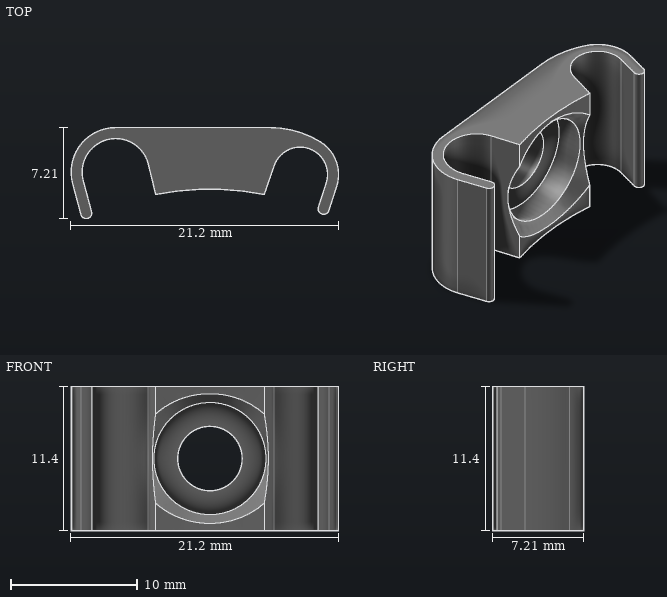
import cadquery as cq
import math

HEIGHT = 11.42
WALL = 0.89

LEFT_X = -7.45
LEFT_RADIUS = 2.65
LEFT_TILT = 15.0
LEFT_CENTER_Y = -(LEFT_RADIUS + WALL)
LEFT_TIP_Y = -6.77

RIGHT_X = 7.13
RIGHT_RADIUS = 2.15
RIGHT_TILT = 18.0
RIGHT_CENTER_Y = -3.72
RIGHT_TIP_Y = -6.43
SHOULDER_RADIUS = 7.61

BLOCK_HALF_WIDTH = 4.3
BLOCK_CORNER_Y = -5.3
BLOCK_MIDDLE_Y = -4.89

HOLE_DIAMETER = 5.08
BORE_DIAMETER = 8.86
BORE_FLOOR_Y = -2.0
FLARE_START_Y = -4.19
FLARE_LENGTH = 1.7


def polar(center, radius, degrees):
    angle = math.radians(degrees)
    return (center[0] + radius * math.cos(angle), center[1] + radius * math.sin(angle))


def tip_center(center, radius, tilt, side, tip_y):
    """Center of the rounded arm tip; side is 1 for the left hook, -1 for the right."""
    middle_radius = radius + WALL / 2
    start = polar(center, middle_radius, 90 + side * (90 + tilt))
    run = (start[1] - tip_y) / math.cos(math.radians(tilt))
    return polar(start, run, -90 + side * tilt)


def clip_profile():
    left = (LEFT_X, LEFT_CENTER_Y)
    right = (RIGHT_X, RIGHT_CENTER_Y)
    left_outer = LEFT_RADIUS + WALL
    right_outer = RIGHT_RADIUS + WALL
    left_arm = 180 + LEFT_TILT
    right_arm = -RIGHT_TILT

    left_tip = tip_center(left, LEFT_RADIUS, LEFT_TILT, 1, LEFT_TIP_Y)
    right_tip = tip_center(right, RIGHT_RADIUS, RIGHT_TILT, -1, RIGHT_TIP_Y)

    shoulder_y = -SHOULDER_RADIUS
    shoulder_rise = RIGHT_CENTER_Y - shoulder_y
    shoulder_run = math.sqrt((SHOULDER_RADIUS - right_outer) ** 2 - shoulder_rise**2)
    shoulder = (RIGHT_X - shoulder_run, shoulder_y)
    join = math.degrees(math.atan2(shoulder_rise, shoulder_run))

    return (
        cq.Workplane("XY")
        .moveTo(LEFT_X, 0)
        .lineTo(shoulder[0], 0)
        .threePointArc(polar(shoulder, SHOULDER_RADIUS, (90 + join) / 2), polar(right, right_outer, join))
        .threePointArc(polar(right, right_outer, (join + right_arm) / 2), polar(right, right_outer, right_arm))
        .lineTo(*polar(right_tip, WALL / 2, right_arm))
        .threePointArc(polar(right_tip, WALL / 2, right_arm - 90), polar(right_tip, WALL / 2, right_arm - 180))
        .lineTo(*polar(right, RIGHT_RADIUS, right_arm))
        .threePointArc(polar(right, RIGHT_RADIUS, right_arm + 90), polar(right, RIGHT_RADIUS, right_arm + 180))
        .lineTo(BLOCK_HALF_WIDTH, BLOCK_CORNER_Y)
        .threePointArc((0, BLOCK_MIDDLE_Y), (-BLOCK_HALF_WIDTH, BLOCK_CORNER_Y))
        .lineTo(*polar(left, LEFT_RADIUS, left_arm - 180))
        .threePointArc(polar(left, LEFT_RADIUS, left_arm - 90), polar(left, LEFT_RADIUS, left_arm))
        .lineTo(*polar(left_tip, WALL / 2, left_arm - 180))
        .threePointArc(polar(left_tip, WALL / 2, left_arm + 90), polar(left_tip, WALL / 2, left_arm))
        .lineTo(*polar(left, left_outer, left_arm))
        .threePointArc(polar(left, left_outer, (left_arm + 90) / 2), (LEFT_X, 0))
        .close()
    )


def screw_cutter():
    """Through hole, counterbore and 45 degree flare, revolved about the Y axis."""
    hole_radius = HOLE_DIAMETER / 2
    bore_radius = BORE_DIAMETER / 2
    flare_end_y = FLARE_START_Y - FLARE_LENGTH
    return (
        cq.Workplane("XY")
        .polyline([
            (0, 0),
            (hole_radius, 0),
            (hole_radius, BORE_FLOOR_Y),
            (bore_radius, BORE_FLOOR_Y),
            (bore_radius, FLARE_START_Y),
            (bore_radius + FLARE_LENGTH, flare_end_y),
            (0, flare_end_y),
        ])
        .close()
        .revolve(360, (0, 0), (0, 1))
    )


result = clip_profile().extrude(HEIGHT / 2, both=True).cut(screw_cutter())